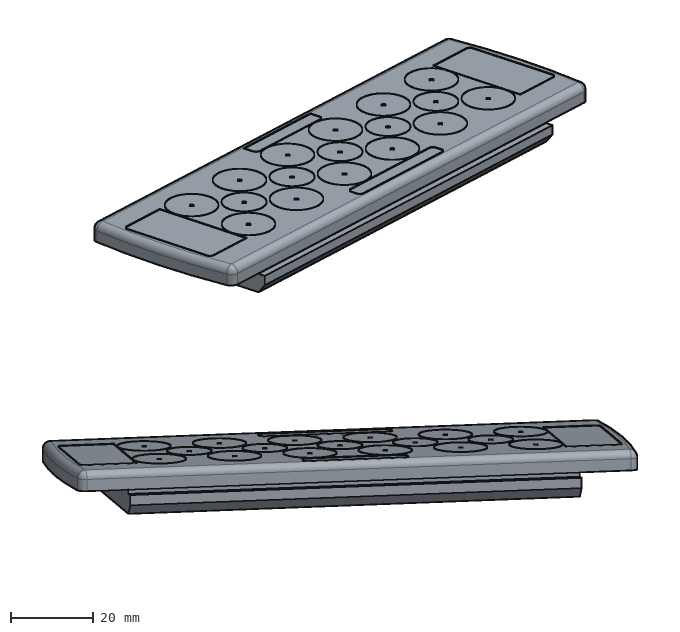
import cadquery as cq

PLATE_WIDTH = 43.97
PLATE_LENGTH = 141.72
PLATE_THICKNESS = 5.0
END_BOW_RADIUS = 180.0
CORNER_RADIUS = 2.0
TOP_FILLET = 2.0

RAIL_LENGTH = 112.4
RAIL_OFFSET_X = 1.4
NECK_WIDTH = 36.0
FOOT_WIDTH = 40.0
NECK_HEIGHT = 2.0
FOOT_HEIGHT = 5.0
FOOT_CHAMFER = 2.5
FOOT_CHAMFER_INSET = (FOOT_WIDTH - NECK_WIDTH) / 2
TOP_Z = FOOT_HEIGHT + NECK_HEIGHT + PLATE_THICKNESS

ROW_COUNT = 6
ROW_PITCH = 18.75
COLUMN_PITCH = 17.7
LARGE_SEAT_DIAMETER = 13.1
SMALL_SEAT_DIAMETER = 11.0
CENTER_MARK_DIAMETER = 1.0
SEAT_DEPTH = 0.1
CENTER_MARK_DEPTH = 0.5

FIELD_DEPTH = 0.2
FIELD_CORNER_RADIUS = 1.2
END_FIELD_WIDTH = 27.0
END_FIELD_INNER_Y = 53.5
END_FIELD_LENGTH = 14.0
SIDE_FIELD_WIDTH = 4.0
SIDE_FIELD_CENTER_X = 17.55
LEFT_FIELD_LENGTH = 26.0
RIGHT_FIELD_LENGTH = 33.0


def make_plate():
    """Plate with arc ends, rounded corners and a rounded top edge."""
    half_width = PLATE_WIDTH / 2
    half_length = PLATE_LENGTH / 2
    end_sag = END_BOW_RADIUS - (END_BOW_RADIUS**2 - half_width**2) ** 0.5
    corner_y = half_length - end_sag
    outline = (
        cq.Workplane("XY")
        .workplane(offset=TOP_Z - PLATE_THICKNESS)
        .moveTo(-half_width, -corner_y)
        .threePointArc((0, -half_length), (half_width, -corner_y))
        .lineTo(half_width, corner_y)
        .threePointArc((0, half_length), (-half_width, corner_y))
        .close()
    )
    plate = outline.extrude(PLATE_THICKNESS)
    plate = plate.edges("|Z").fillet(CORNER_RADIUS)
    return plate.faces(">Z").edges().fillet(TOP_FILLET)


def make_rail():
    """Rail along Y, standing off-center in X."""
    half_foot = FOOT_WIDTH / 2
    half_neck = NECK_WIDTH / 2
    half_bottom = half_foot - FOOT_CHAMFER_INSET
    neck_top = FOOT_HEIGHT + NECK_HEIGHT
    right_side = [
        (half_bottom, 0),
        (half_foot, FOOT_CHAMFER),
        (half_foot, FOOT_HEIGHT),
        (half_neck, FOOT_HEIGHT),
        (half_neck, neck_top),
    ]
    left_side = [(-x, z) for x, z in reversed(right_side)]
    section = cq.Workplane("XZ").polyline(right_side + left_side).close()
    rail = section.extrude(RAIL_LENGTH / 2, both=True)
    return rail.translate((RAIL_OFFSET_X, 0, 0))


def seat_rows(count):
    """Y positions of evenly pitched rows centered on the plate."""
    first = -(count - 1) * ROW_PITCH / 2
    return [first + row * ROW_PITCH for row in range(count)]


def top_pocket(points, diameter, depth):
    """Round pockets cut down from the top face."""
    plane = cq.Workplane("XY").workplane(offset=TOP_Z)
    return plane.pushPoints(points).circle(diameter / 2).extrude(-depth)


def label_field(width, length, center, rounded_corners):
    """Rectangular label pocket with the selected vertical edges rounded."""
    plane = cq.Workplane("XY", origin=(center[0], center[1], TOP_Z))
    field = plane.rect(width, length).extrude(-FIELD_DEPTH)
    return field.edges(rounded_corners).fillet(FIELD_CORNER_RADIUS)


def cut_seats(body):
    """Shallow drill seats, each with a small center mark."""
    columns = (-COLUMN_PITCH / 2, COLUMN_PITCH / 2)
    large_points = [(x, y) for x in columns for y in seat_rows(ROW_COUNT)]
    small_points = [(0, y) for y in seat_rows(ROW_COUNT - 1)]
    body = body.cut(top_pocket(large_points, LARGE_SEAT_DIAMETER, SEAT_DEPTH))
    body = body.cut(top_pocket(small_points, SMALL_SEAT_DIAMETER, SEAT_DEPTH))
    marks = top_pocket(large_points + small_points, CENTER_MARK_DIAMETER, CENTER_MARK_DEPTH)
    return body.cut(marks)


def cut_label_fields(body):
    """Label fields at both ends and beside both seat columns."""
    end_center_y = END_FIELD_INNER_Y + END_FIELD_LENGTH / 2
    end_size = (END_FIELD_WIDTH, END_FIELD_LENGTH)
    left_center = (-SIDE_FIELD_CENTER_X, 0)
    right_center = (SIDE_FIELD_CENTER_X, 0)
    fields = [
        label_field(*end_size, (0, end_center_y), "|Z and >Y"),
        label_field(*end_size, (0, -end_center_y), "|Z and <Y"),
        label_field(SIDE_FIELD_WIDTH, LEFT_FIELD_LENGTH, left_center, "|Z and >X"),
        label_field(SIDE_FIELD_WIDTH, RIGHT_FIELD_LENGTH, right_center, "|Z"),
    ]
    for field in fields:
        body = body.cut(field)
    return body


body = make_plate().union(make_rail())
body = cut_seats(body)
result = cut_label_fields(body)